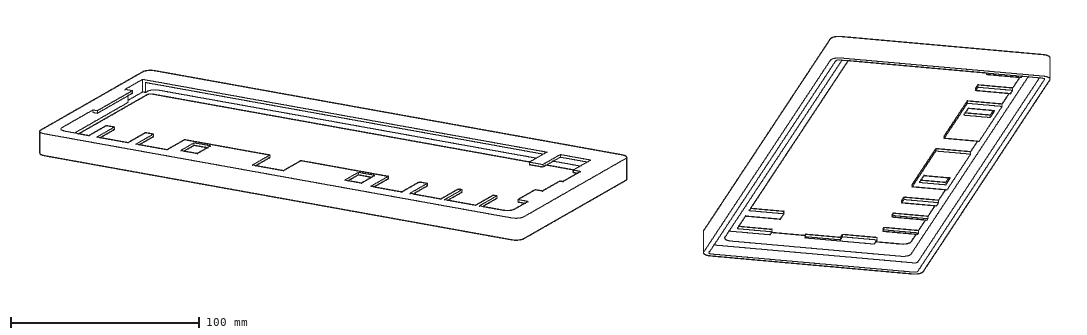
import cadquery as cq

length = 294.5
depth = 120.2
height = 12.5
corner_radius = 4.7

plate_thickness = 1.5
wall_left = 8.0
wall_right = 10.5
wall_front = 9.0
wall_back = wall_front
cavity_corner_radius = 4.5
thick_wall_height = 7.0
rim_wall = 3.0

row_pitch = 19.03
row_count = 5
key_width = 18.9
cavity_right = length - wall_right
field_back = wall_front + row_count * row_pitch

open_rows = [
    (6.2, 279.5),
    (10.5, cavity_right),
    (10.5, 282.2),
    (wall_left, 277.8),
]

tongue_left = 252.7
tongue_right = 261.0

front_key_lefts = [wall_left, 31.8, 55.7, 126.7, 198.8, 222.7, 244.0, cavity_right - key_width]

window_lefts = [81.5, 181.7]
window_width = 10.0
window_depth = 14.5
window_front = 11.5

plate_underside = height - plate_thickness
ledge_level = height - thick_wall_height


def block(x_range, y_range, z_range):
    """Box given by its limits along each axis."""
    lows, highs = zip(x_range, y_range, z_range)
    size = [high - low for low, high in zip(lows, highs)]
    return cq.Workplane("XY").box(*size, centered=False).translate(lows)


def rounded_block(x_range, y_range, z_range, radius):
    """Box with rounded vertical edges."""
    return block(x_range, y_range, z_range).edges("|Z").fillet(radius)


def upper_cavity(top):
    """Rounded space inside the thick walls, from the bottom up to the given level."""
    return rounded_block(
        (wall_left, cavity_right), (wall_front, depth - wall_back), (0, top), cavity_corner_radius
    )


def lower_cavity():
    """Wider space below the thick walls, which leaves a thin rim."""
    return rounded_block(
        (rim_wall, length - rim_wall),
        (rim_wall, depth - rim_wall),
        (0, ledge_level),
        corner_radius - rim_wall,
    )


def row_opening(row, x_range):
    """Opening across one key row, counted from the back, through plate and thick wall."""
    back = field_back - row * row_pitch
    return block(x_range, (back - row_pitch, back), (ledge_level, height))


def front_key_openings():
    """Single-key openings; the outermost two follow the rounded cavity corners."""
    front_row = row_count - 1
    openings = cq.Workplane("XY")
    for left in front_key_lefts:
        openings = openings.union(row_opening(front_row, (left, left + key_width)))
    return openings.intersect(upper_cavity(height))


def window(left):
    """Rectangular hole through the plate."""
    return block(
        (left, left + window_width),
        (window_front, window_front + window_depth),
        (plate_underside, height),
    )


case = rounded_block((0, length), (0, depth), (0, height), corner_radius)
case = case.cut(upper_cavity(plate_underside)).cut(lower_cavity())

for row_index, row_ends in enumerate(open_rows):
    case = case.cut(row_opening(row_index, row_ends))
case = case.cut(front_key_openings())

for window_left in window_lefts:
    case = case.cut(window(window_left))

tongue = block(
    (tongue_left, tongue_right), (field_back - row_pitch, field_back), (plate_underside, height)
)
result = case.union(tongue)